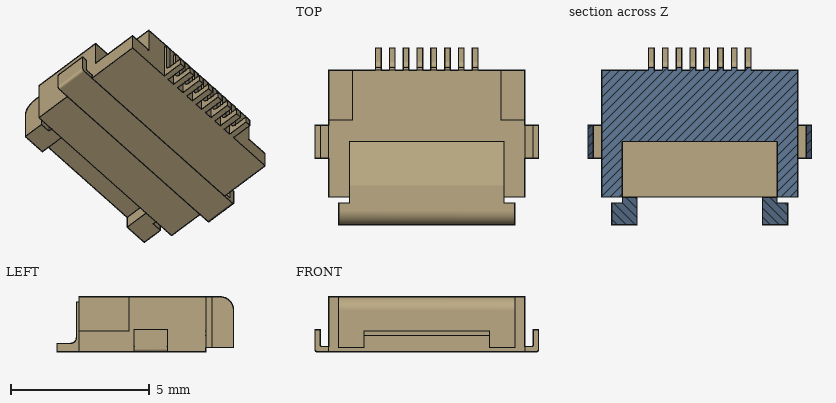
import cadquery as cq


housing_width = 7.1
housing_depth = 4.59
housing_height = 2.0
corner_step_width = 0.87
corner_step_depth = 1.815
corner_step_height = 0.76

lead_count = 8
lead_row_span = 3.5
lead_width = 0.21
lead_reach = 0.8
lead_foot_thickness = 0.315
lead_upright_thickness = 0.1
lead_upright_height = 1.815
lead_bend_radius = 0.2

plate_width = 6.375
plate_bottom = 0.15
slider_reach = 1.005
shoulder_gap = 0.21
top_edge_radius = 0.495
tongue_width = 5.59
tongue_depth = 2.0
tongue_flat_depth = 0.41
ramp_drop = 0.27
notch_width = 4.54
notch_top = 0.76
pocket_floor = 0.6

bracket_span = 8.1
bracket_front = 1.39
bracket_width = 1.21
bracket_height = 0.81
bracket_thickness = 0.2
bracket_outer_radius = 0.105
bracket_inner_radius = 0.04


def block(width, y_front, y_back, z_bottom, z_top):
    """Block centred on X = 0 between the given Y and Z limits."""
    return cq.Workplane("XY").box(
        width, y_back - y_front, z_top - z_bottom, centered=(True, False, False)
    ).translate((0, y_front, z_bottom))


def make_lead(x_centre):
    """Foot behind the housing and an upright on its rear face, joined by an inner bend."""
    foot_end = housing_depth + lead_reach
    upright_back = housing_depth + lead_upright_thickness
    return (
        cq.Workplane("YZ")
        .moveTo(housing_depth, 0)
        .lineTo(foot_end, 0)
        .lineTo(foot_end, lead_foot_thickness)
        .lineTo(upright_back + lead_bend_radius, lead_foot_thickness)
        .radiusArc((upright_back, lead_foot_thickness + lead_bend_radius), lead_bend_radius)
        .lineTo(upright_back, lead_upright_height)
        .lineTo(housing_depth, lead_upright_height)
        .close()
        .extrude(lead_width / 2, both=True)
        .translate((x_centre, 0, 0))
    )


def make_bracket():
    """Flat strip under the housing with an upright tab at each end."""
    bracket_back = bracket_front + bracket_width
    inner_span = bracket_span - 2 * bracket_thickness
    outer = block(bracket_span, bracket_front, bracket_back, 0, bracket_height)
    outer = outer.edges("|Y and <Z").fillet(bracket_outer_radius)
    inner = block(inner_span, bracket_front, bracket_back, bracket_thickness, bracket_height)
    inner = inner.edges("|Y and <Z").fillet(bracket_inner_radius)
    return outer.cut(inner)


def make_housing():
    """Block with stepped rear corners, a slider pocket, a bracket channel and the leads."""
    body = block(housing_width, 0, housing_depth, 0, housing_height)

    corner_x = (housing_width - corner_step_width) / 2
    step_front = housing_depth - corner_step_depth
    corner = block(corner_step_width, step_front, housing_depth, corner_step_height, housing_height)
    for side in (-1, 1):
        body = body.cut(corner.translate((side * corner_x, 0, 0)))

    body = body.cut(block(tongue_width, 0, tongue_depth, pocket_floor, housing_height))

    channel_back = bracket_front + bracket_width
    body = body.cut(block(housing_width, bracket_front, channel_back, 0, bracket_thickness))

    lead_pitch = lead_row_span / (lead_count - 1)
    for index in range(lead_count):
        body = body.union(make_lead(index * lead_pitch - lead_row_span / 2))
    return body


def make_slider():
    """Front plate with a rounded top edge, a cable notch and a ramped tongue."""
    plate = block(plate_width, -slider_reach, -shoulder_gap, plate_bottom, housing_height)
    plate = plate.edges("|X and >Z and <Y").fillet(top_edge_radius)

    neck = block(tongue_width, -shoulder_gap, 0, plate_bottom, housing_height)

    tongue = (
        cq.Workplane("YZ")
        .moveTo(0, notch_top)
        .lineTo(tongue_depth, notch_top)
        .lineTo(tongue_depth, housing_height - ramp_drop)
        .lineTo(tongue_flat_depth, housing_height)
        .lineTo(0, housing_height)
        .close()
        .extrude(tongue_width / 2, both=True)
    )

    notch = block(notch_width, -slider_reach, 0, plate_bottom, notch_top)
    return plate.union(neck).union(tongue).cut(notch)


housing = make_housing()
slider = make_slider()
bracket = make_bracket()

result = cq.Compound.makeCompound([housing.val(), slider.val(), bracket.val()])